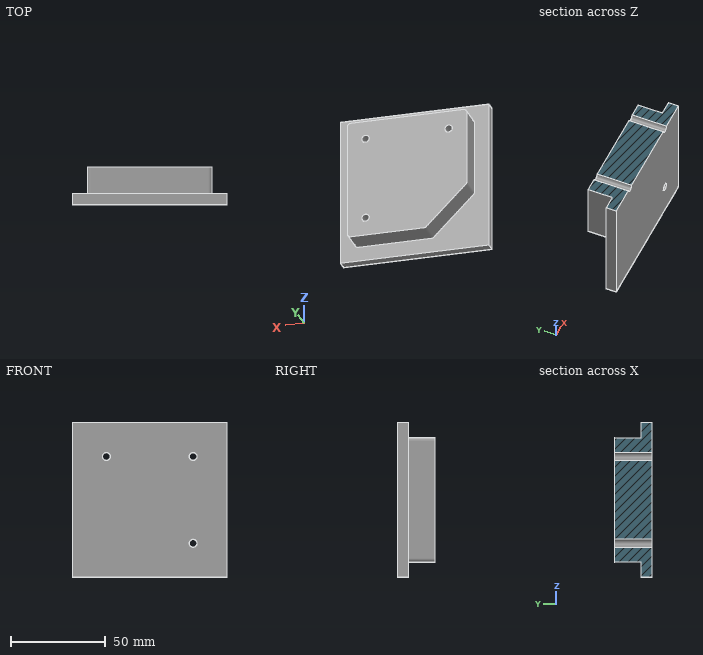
import cadquery as cq

plate_side = 82.0
plate_thickness = 6.0

total_depth = 20.0
block_side = 66.0
corner_cut = 23.0
corner_radius = 2.0

hole_diameter = 4.0
hole_offset = 23.0

half_block = block_side / 2


def make_plate():
    """Front plate, extending from Y = 0 to its thickness."""
    return (
        cq.Workplane("XZ")
        .rect(plate_side, plate_side)
        .extrude(-plate_thickness)
    )


def make_block():
    """Rear block with rounded edges and the -X, -Z corner cut off."""
    outline = [
        (-half_block + corner_cut, -half_block),
        (half_block, -half_block),
        (half_block, half_block),
        (-half_block, half_block),
        (-half_block, -half_block + corner_cut),
    ]
    return (
        cq.Workplane("XZ", origin=(0, plate_thickness, 0))
        .polyline(outline)
        .close()
        .extrude(-(total_depth - plate_thickness))
        .edges("|Y")
        .fillet(corner_radius)
    )


def make_holes():
    """Pins that cut the holes through the plate and the block."""
    centers = [
        (-hole_offset, hole_offset),
        (hole_offset, hole_offset),
        (hole_offset, -hole_offset),
    ]
    return (
        cq.Workplane("XZ")
        .pushPoints(centers)
        .circle(hole_diameter / 2)
        .extrude(-total_depth)
    )


result = make_plate().union(make_block()).cut(make_holes())